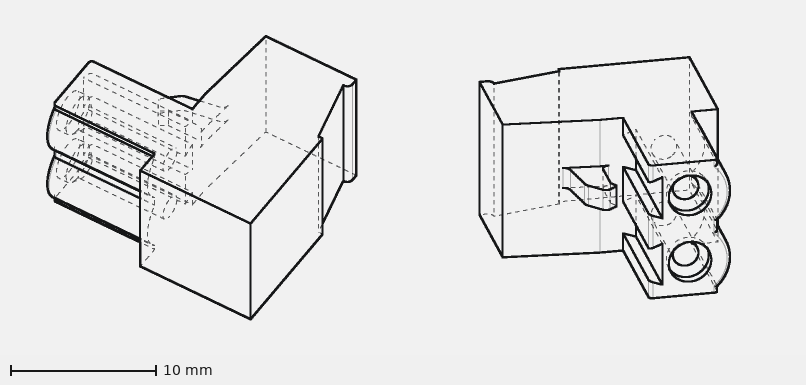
import cadquery as cq

LENGTH = 17.3
DEPTH = 15.0
HEIGHT = 10.0

BODY_FRONT = 8.3
TAPER_START = 8.3
TOP_FRONT = 8.98
LIP_X = 16.37
LIP_STRAIGHT = 0.5
LIP_RADIUS = 0.42
NOTCH_X = 15.88
STEP_X = 16.94
STEP_Y = 9.22
STEP_ROUND = 0.09

POLE_COUNT = 2
PITCH = HEIGHT / POLE_COUNT
POLE_HEIGHTS = [PITCH * (i + 0.5) for i in range(POLE_COUNT)]
PLUG_LOW = 1.85
PLUG_HIGH = 6.68
PLUG_ROUND = 0.26
SOCKET_Y = 3.8
BARREL_RADIUS = 2.87

MOUTH_DIAMETER = 3.0
BORE_DIAMETER = 1.8
MOUTH_DEPTH = 0.8
CONE_DEPTH = (MOUTH_DIAMETER - BORE_DIAMETER) / 2
SOCKET_END = BODY_FRONT

GROOVE_DEPTH = 0.92
GROOVE_MOUTH = 2.39
GROOVE_BASE = 3.08

LATCH_BOTTOM = HEIGHT / 2
LATCH_WIDTH = 1.5
LATCH_EMBED = 0.35
LATCH_UNDERSIDE = 8.2
LATCH_BLEND = 0.5
LATCH_UPPER_BLEND_END = 10.86
LATCH_BACK = (8.15, 10.41)
LATCH_SHOULDER = (5.45, 9.93)
LATCH_SHOULDER_ROUND = 0.7
LATCH_NOSE = (4.15, 8.74)
LATCH_NOSE_ROUND = 0.35
LATCH_HOOK = (4.81, 7.85)
LATCH_HOOK_ROUND = 0.15
LATCH_HOOK_END = 5.36


def make_body():
    lip_end = DEPTH - LIP_STRAIGHT
    lip_bottom = lip_end - LIP_RADIUS
    outline = (
        cq.Workplane("XY")
        .moveTo(BODY_FRONT, 0)
        .lineTo(LENGTH, 0)
        .lineTo(LENGTH, STEP_Y)
        .lineTo(STEP_X + STEP_ROUND, STEP_Y)
        .radiusArc((STEP_X, STEP_Y + STEP_ROUND), STEP_ROUND)
        .lineTo(NOTCH_X, lip_bottom)
        .lineTo(LIP_X - LIP_RADIUS, lip_bottom)
        .radiusArc((LIP_X, lip_end), -LIP_RADIUS)
        .lineTo(LIP_X, DEPTH)
        .lineTo(TOP_FRONT, DEPTH)
        .lineTo(BODY_FRONT, TAPER_START)
        .close()
    )
    return outline.extrude(HEIGHT)


def make_plug():
    """Rectangular bar joined to a round barrel per pole, with rounded front edges."""
    bar = cq.Workplane("XY").box(BODY_FRONT, PLUG_HIGH - PLUG_LOW, HEIGHT, centered=False)
    plug = bar.translate((0, PLUG_LOW, 0)).faces("<X").edges("|Z").fillet(PLUG_ROUND)
    lower_half = cq.Workplane("XY").box(BODY_FRONT, SOCKET_Y, HEIGHT, centered=False)
    for z in POLE_HEIGHTS:
        barrel = cq.Workplane("YZ").center(SOCKET_Y, z).circle(BARREL_RADIUS).extrude(BODY_FRONT)
        barrel = barrel.faces("<X").edges().fillet(PLUG_ROUND)
        plug = plug.union(barrel.intersect(lower_half))
    return plug


def make_groove(z):
    base_y = PLUG_HIGH - GROOVE_DEPTH
    return (
        cq.Workplane("YZ")
        .polyline([
            (PLUG_HIGH, z - GROOVE_MOUTH / 2),
            (base_y, z - GROOVE_BASE / 2),
            (base_y, z + GROOVE_BASE / 2),
            (PLUG_HIGH, z + GROOVE_MOUTH / 2),
        ])
        .close()
        .extrude(BODY_FRONT)
    )


def make_socket(z):
    """Wide mouth, 45 degree cone and narrow blind bore, turned about the socket axis."""
    cone_end = MOUTH_DEPTH + CONE_DEPTH
    return (
        cq.Workplane("XY")
        .polyline([
            (0, 0),
            (0, MOUTH_DIAMETER / 2),
            (MOUTH_DEPTH, MOUTH_DIAMETER / 2),
            (cone_end, BORE_DIAMETER / 2),
            (SOCKET_END, BORE_DIAMETER / 2),
            (SOCKET_END, 0),
        ])
        .close()
        .revolve(360, (0, 0, 0), (1, 0, 0))
        .translate((0, SOCKET_Y, z))
    )


def make_latch():
    """Hooked arm with rounded shoulder, nose and hook, blended into the body at its root."""
    upper_root_x = BODY_FRONT + (TOP_FRONT - BODY_FRONT) * (
        (LATCH_UPPER_BLEND_END - TAPER_START) / (DEPTH - TAPER_START)
    )
    lower_root_y = LATCH_UNDERSIDE - LATCH_BLEND
    embedded_x = upper_root_x + LATCH_EMBED
    latch = (
        cq.Workplane("XY")
        .moveTo(embedded_x, LATCH_UPPER_BLEND_END)
        .lineTo(upper_root_x, LATCH_UPPER_BLEND_END)
        .radiusArc(LATCH_BACK, LATCH_BLEND)
        .lineTo(*LATCH_SHOULDER)
        .lineTo(*LATCH_NOSE)
        .lineTo(*LATCH_HOOK)
        .lineTo(LATCH_HOOK_END, LATCH_UNDERSIDE)
        .lineTo(BODY_FRONT - LATCH_BLEND, LATCH_UNDERSIDE)
        .radiusArc((BODY_FRONT, lower_root_y), LATCH_BLEND)
        .lineTo(embedded_x, lower_root_y)
        .close()
        .extrude(LATCH_WIDTH)
    )
    rounds = [
        (LATCH_SHOULDER, LATCH_SHOULDER_ROUND),
        (LATCH_NOSE, LATCH_NOSE_ROUND),
        (LATCH_HOOK, LATCH_HOOK_ROUND),
    ]
    for (x, y), radius in rounds:
        corner = cq.selectors.NearestToPointSelector((x, y, LATCH_WIDTH / 2))
        latch = latch.edges("|Z").edges(corner).fillet(radius)
    return latch.translate((0, 0, LATCH_BOTTOM))


plug = make_plug()
for pole_z in POLE_HEIGHTS:
    plug = plug.cut(make_groove(pole_z)).cut(make_socket(pole_z))

result = make_body().union(plug).union(make_latch())